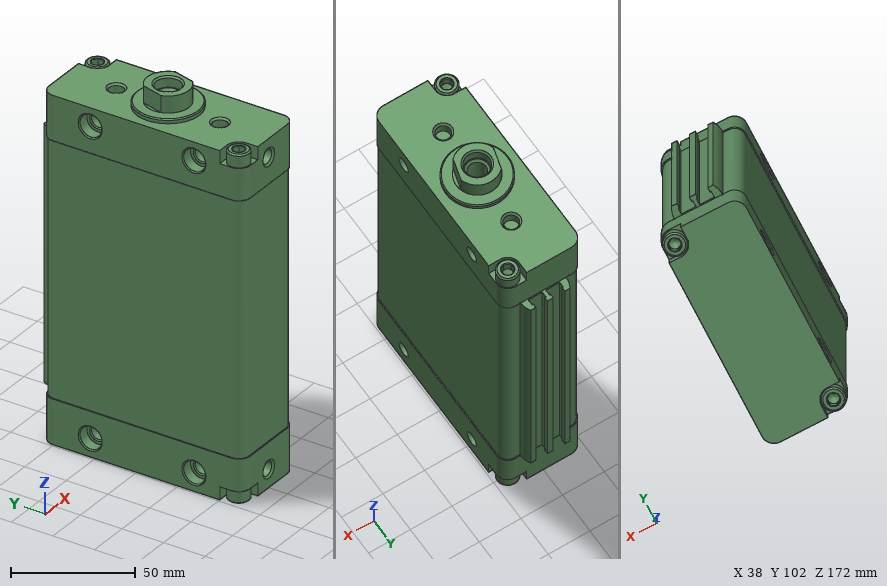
import cadquery as cq
import math

total_height = 172.0
cap_width = 38.0
cap_depth = 96.8
cap_height = 21.2
cap_corner_radius = 5.5
rod_protrusion = 10.0

barrel_inset = 0.5
total_depth = 102.0

edge_chamfer = 0.5
drill_tip_angle = 118.0

collar_diameter = 30.0
collar_height = 2.0
rod_diameter = 20.0
rod_across_flats = 17.0
rod_flat_angle = -15.0
rod_relief_diameter = 11.5
rod_relief_rim_diameter = 13.0
rod_relief_depth = 5.0
rod_thread_rim_diameter = 10.5
rod_thread_diameter = 8.5
rod_thread_depth = 20.0

recess_diameter = 2 * cap_corner_radius
recess_depth = 6.0
head_diameter = 10.0
head_chamfer = 0.7
socket_sides = 6
socket_across_flats = 5.0
socket_depth = 4.0

hole_spacing = 49.9
hole_edge_distance = 8.6
bore_diameter = 6.7
bore_rim_diameter = 8.5
blind_bore_depth = 5.0
port_depth = 10.0
counterbore_diameter = 10.5
counterbore_rim_diameter = 11.5
counterbore_depth = 5.5
cross_bore_rim_diameter = 7.7

rail_base_width = 21.8
rail_top_width = 18.7
slot_span = 15.0
jaw_lip = 0.5
lip_height = 2.0
stem_width = 1.7
web_height = 0.5

top_face = total_height - rod_protrusion
barrel_bottom = cap_height
barrel_top = top_face - cap_height
barrel_width = cap_width - 2 * barrel_inset
barrel_depth = cap_depth - 2 * barrel_inset
collar_top = top_face + collar_height
hole_places = (-hole_spacing / 2, hole_spacing / 2)
screw_x = cap_width / 2 - cap_corner_radius
screw_y = cap_depth / 2 - cap_corner_radius
screw_corners = ((-1, -1), (1, 1))


def rounded_block(width, depth, bottom, top, corner_radius):
    block = cq.Workplane("XY").workplane(offset=bottom).rect(width, depth).extrude(top - bottom)
    return block.edges("|Z").fillet(corner_radius)


def cylinder(start, direction, diameter, length):
    return cq.Workplane(cq.Solid.makeCylinder(diameter / 2, length, cq.Vector(*start), cq.Vector(*direction)))


def countersink(start, direction, rim_diameter, diameter):
    """45 degree cone from the rim diameter down to the hole diameter."""
    depth = (rim_diameter - diameter) / 2
    cone = cq.Solid.makeCone(rim_diameter / 2, diameter / 2, depth, cq.Vector(*start), cq.Vector(*direction))
    return cq.Workplane(cone)


def drill_tip(start, direction, diameter):
    """Cone that closes a drilled hole."""
    depth = diameter / 2 / math.tan(math.radians(drill_tip_angle / 2))
    return cq.Workplane(cq.Solid.makeCone(diameter / 2, 0, depth, cq.Vector(*start), cq.Vector(*direction)))


def chamfered_bore(start, direction, length, rim_diameter):
    """Small cap bore with a countersunk rim."""
    bore = cylinder(start, direction, bore_diameter, length)
    return bore.union(countersink(start, direction, rim_diameter, bore_diameter))


def cross_hole(y, z):
    """Hole through the cap along X, counterbored on the -X side."""
    mouth = (-cap_width / 2, y, z)
    bore_start = (-cap_width / 2 + counterbore_depth, y, z)
    inward = (1, 0, 0)
    hole = chamfered_bore(bore_start, inward, cap_width - counterbore_depth, cross_bore_rim_diameter)
    hole = hole.union(cylinder(mouth, inward, counterbore_diameter, counterbore_depth))
    return hole.union(countersink(mouth, inward, counterbore_rim_diameter, counterbore_diameter))


def screw_recess():
    """Recess at the origin, open towards -X and -Y, going down from z = 0."""
    radius = recess_diameter / 2
    outline = (
        cq.Workplane("XY")
        .moveTo(-radius, radius)
        .lineTo(0, radius)
        .threePointArc((radius * math.sqrt(0.5), radius * math.sqrt(0.5)), (radius, 0))
        .lineTo(radius, -radius)
        .lineTo(-radius, -radius)
        .close()
    )
    return outline.extrude(-recess_depth)


def screw_head():
    """Screw head at the origin with its top at z = 0 and a hexagon socket."""
    head = cq.Workplane("XY").circle(head_diameter / 2).extrude(-recess_depth)
    head = head.faces(">Z").chamfer(head_chamfer)
    half_side_angle = 180 / socket_sides
    across_corners = socket_across_flats / math.cos(math.radians(half_side_angle))
    socket = cq.Workplane("XY").polygon(socket_sides, across_corners).extrude(-socket_depth)
    socket = socket.rotate((0, 0, 0), (0, 0, 1), half_side_angle)
    down = (0, 0, -1)
    head = head.cut(socket)
    head = head.cut(countersink((0, 0, 0), down, across_corners, socket_across_flats))
    return head.cut(drill_tip((0, 0, -socket_depth), down, socket_across_flats))


def placed_at_corner(shape, corner, is_top):
    """Move a shape from the origin to a cap corner; it is turned over for the bottom cap."""
    turn = 0 if corner == (-1, -1) else 180
    shape = shape.rotate((0, 0, 0), (0, 0, 1), turn)
    end_face = top_face
    if not is_top:
        shape = shape.mirror("XY")
        end_face = 0
    return shape.translate((corner[0] * screw_x, corner[1] * screw_y, end_face))


def make_cap(is_top):
    """Cap block with its screw heads, cross holes and air port."""
    if is_top:
        bottom, top = barrel_top, top_face
        hole_z = top_face - hole_edge_distance
    else:
        bottom, top = 0, barrel_bottom
        hole_z = hole_edge_distance
    cap = rounded_block(cap_width, cap_depth, bottom, top, cap_corner_radius)
    for corner in screw_corners:
        cap = cap.cut(placed_at_corner(screw_recess(), corner, is_top))
        cap = cap.union(placed_at_corner(screw_head(), corner, is_top))
    for y in hole_places:
        cap = cap.cut(cross_hole(y, hole_z))
    return cap.cut(chamfered_bore((0, -cap_depth / 2, hole_z), (0, 1, 0), port_depth, bore_rim_diameter))


def make_top_cap():
    """Cap with the rod collar, the rod bore and two blind holes in its end face."""
    cap = make_cap(is_top=True)
    collar = cylinder((0, 0, top_face), (0, 0, 1), collar_diameter, collar_height)
    cap = cap.union(collar.faces(">Z").chamfer(edge_chamfer))
    cap = cap.cut(cylinder((0, 0, barrel_top), (0, 0, 1), rod_diameter, collar_top - barrel_top))
    for y in hole_places:
        cap = cap.cut(chamfered_bore((0, y, top_face), (0, 0, -1), blind_bore_depth, bore_rim_diameter))
    return cap


def rail_flank(rail_top, barrel_face):
    """Outer side of a jaw, curving from the rail top into a straight foot."""
    foot = cap_depth / 2
    flank = (
        cq.Workplane("XY")
        .workplane(offset=barrel_bottom)
        .moveTo(rail_top_width / 2, barrel_face)
        .lineTo(rail_base_width / 2, barrel_face)
        .lineTo(rail_base_width / 2, foot)
        .tangentArcPoint((rail_top_width / 2, rail_top), relative=False)
        .close()
    )
    return flank.extrude(barrel_top - barrel_bottom)


def make_rail():
    """Sensor rail along Z with two T-slots on the +Y side of the barrel."""
    rail_top = total_depth - cap_depth / 2
    barrel_face = cap_depth / 2 - barrel_inset
    slot_floor = cap_depth / 2 + web_height
    lip_bottom = rail_top - lip_height
    stem_half = stem_width / 2
    slot_half = slot_span / 2
    half = (
        cq.Workplane("XY")
        .workplane(offset=barrel_bottom)
        .moveTo(0, rail_top)
        .lineTo(stem_half + jaw_lip, rail_top)
        .lineTo(stem_half + jaw_lip, lip_bottom)
        .lineTo(stem_half, lip_bottom)
        .lineTo(stem_half, slot_floor)
        .lineTo(slot_half, slot_floor)
        .lineTo(slot_half, lip_bottom)
        .lineTo(slot_half - jaw_lip, lip_bottom)
        .lineTo(slot_half - jaw_lip, rail_top)
        .lineTo(rail_top_width / 2, rail_top)
        .lineTo(rail_top_width / 2, barrel_face)
        .lineTo(0, barrel_face)
        .close()
    )
    half = half.extrude(barrel_top - barrel_bottom)
    half = half.union(rail_flank(rail_top, barrel_face))
    return half.union(half.mirror("YZ"))


def make_barrel():
    barrel = rounded_block(
        barrel_width, barrel_depth, barrel_bottom, barrel_top, cap_corner_radius - barrel_inset
    )
    return barrel.union(make_rail())


def make_rod():
    """Piston rod from the barrel to the top, with two wrench flats and a threaded bore."""
    up = (0, 0, 1)
    down = (0, 0, -1)
    rod = cylinder((0, 0, barrel_top), up, rod_diameter, total_height - barrel_top)
    flat_height = total_height - collar_top
    flats = cq.Workplane("XY").workplane(offset=collar_top).rect(rod_across_flats, rod_diameter)
    flats = flats.extrude(flat_height).rotate((0, 0, 0), up, rod_flat_angle)
    waste = cylinder((0, 0, collar_top), up, rod_diameter, flat_height).cut(flats)
    rod = rod.cut(waste)

    mouth = (0, 0, total_height)
    rod = rod.cut(countersink(mouth, down, rod_relief_rim_diameter, rod_relief_diameter))
    rod = rod.cut(cylinder(mouth, down, rod_relief_diameter, rod_relief_depth))
    relief_floor = (0, 0, total_height - rod_relief_depth)
    rod = rod.cut(countersink(relief_floor, down, rod_thread_rim_diameter, rod_thread_diameter))
    rod = rod.cut(cylinder(mouth, down, rod_thread_diameter, rod_thread_depth))
    return rod.cut(drill_tip((0, 0, total_height - rod_thread_depth), down, rod_thread_diameter))


top_cap = make_top_cap()
bottom_cap = make_cap(is_top=False)
barrel = make_barrel()
piston_rod = make_rod()

result = cq.Compound.makeCompound([top_cap.val(), bottom_cap.val(), barrel.val(), piston_rod.val()])